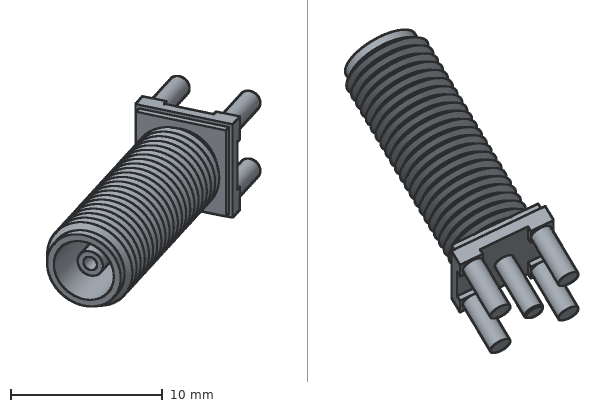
import cadquery as cq


LENGTH = 21.52
FRONT_Y = -LENGTH / 2
REAR_Y = LENGTH / 2
LEG_LENGTH = 3.85
PAD_HEIGHT = 0.39
FLANGE_THICKNESS = 0.8
PLATE_THICKNESS = 0.5
PAD_REAR_Y = REAR_Y - LEG_LENGTH
FLANGE_REAR_Y = PAD_REAR_Y - PAD_HEIGHT
FLANGE_FRONT_Y = FLANGE_REAR_Y - FLANGE_THICKNESS
PLATE_FRONT_Y = FLANGE_FRONT_Y - PLATE_THICKNESS

FLANGE_SIDE = 7.0
PLATE_SIDE = 6.45

LEG_DIAMETER = 1.5
LEG_OFFSET = 2.55
RELIEF_WIDTH = 2 * LEG_OFFSET - LEG_DIAMETER

BARREL_DIAMETER = 5.3
THREAD_DIAMETER = 6.13
RIDGE_COUNT = 22
FRONT_BAND = 0.62
REAR_BAND = 0.39
THREAD_START_Y = FRONT_Y + FRONT_BAND
THREAD_END_Y = PLATE_FRONT_Y - REAR_BAND
RIDGE_PITCH = (THREAD_END_Y - THREAD_START_Y) / RIDGE_COUNT
BORE_DIAMETER = 4.3
BORE_FLOOR_Y = PLATE_FRONT_Y

SOCKET_DIAMETER = 1.8
SOCKET_RECESS = 1.05
SOCKET_HOLE_DIAMETER = 0.97
SOCKET_HOLE_DEPTH = 2 * SOCKET_HOLE_DIAMETER
SOCKET_FRONT_Y = FRONT_Y + SOCKET_RECESS
TAIL_DIAMETER = 1.4
TAIL_CHAMFER = 0.09


def cylinder(diameter, start_y, end_y):
    """Cylinder on the Y axis between two stations."""
    plane = cq.Workplane("XZ", origin=(0, start_y, 0))
    return plane.circle(diameter / 2).extrude(start_y - end_y)


def square_block(side, start_y, end_y):
    """Square block centered on the Y axis between two stations."""
    plane = cq.Workplane("XZ", origin=(0, start_y, 0))
    return plane.rect(side, side).extrude(start_y - end_y)


def make_base():
    """Stepped square base with four corner pads left by a cross-shaped relief."""
    plate = square_block(PLATE_SIDE, PLATE_FRONT_Y, FLANGE_FRONT_Y)
    flange = square_block(FLANGE_SIDE, FLANGE_FRONT_Y, PAD_REAR_Y)
    relief_plane = cq.Workplane("XZ", origin=(0, FLANGE_REAR_Y, 0))
    relief_across = relief_plane.rect(FLANGE_SIDE, RELIEF_WIDTH).extrude(-PAD_HEIGHT)
    relief_upright = relief_plane.rect(RELIEF_WIDTH, FLANGE_SIDE).extrude(-PAD_HEIGHT)
    return plate.union(flange).cut(relief_across).cut(relief_upright)


def make_legs():
    """Four round solder legs, one on each corner pad."""
    spacing = 2 * LEG_OFFSET
    pads = cq.Workplane("XZ", origin=(0, PAD_REAR_Y, 0)).rarray(spacing, spacing, 2, 2)
    return pads.circle(LEG_DIAMETER / 2).extrude(-LEG_LENGTH)


def make_barrel():
    """Solid barrel with evenly spaced V-shaped thread ridges."""
    root_radius = BARREL_DIAMETER / 2
    crest_radius = THREAD_DIAMETER / 2
    outline = cq.Workplane("XY").moveTo(0, FRONT_Y).lineTo(root_radius, FRONT_Y)
    outline = outline.lineTo(root_radius, THREAD_START_Y)
    for ridge in range(RIDGE_COUNT):
        ridge_start_y = THREAD_START_Y + ridge * RIDGE_PITCH
        outline = outline.lineTo(crest_radius, ridge_start_y + RIDGE_PITCH / 2)
        outline = outline.lineTo(root_radius, ridge_start_y + RIDGE_PITCH)
    outline = outline.lineTo(root_radius, PLATE_FRONT_Y).lineTo(0, PLATE_FRONT_Y).close()
    return outline.revolve(360, (0, 0, 0), (0, 1, 0))


def make_housing():
    """Barrel, base and legs in one piece, bored for the center contact."""
    bore = cylinder(BORE_DIAMETER, FRONT_Y, BORE_FLOOR_Y)
    tail_hole = cylinder(TAIL_DIAMETER, BORE_FLOOR_Y, FLANGE_REAR_Y)
    solid = make_base().union(make_legs()).union(make_barrel())
    return solid.cut(bore).cut(tail_hole).solids()


def make_contact():
    """Center contact with a blind socket hole and a chamfered solder tail."""
    socket = cylinder(SOCKET_DIAMETER, SOCKET_FRONT_Y, BORE_FLOOR_Y)
    tail = cylinder(TAIL_DIAMETER, BORE_FLOOR_Y, REAR_Y).faces(">Y").chamfer(TAIL_CHAMFER)
    hole = cylinder(SOCKET_HOLE_DIAMETER, SOCKET_FRONT_Y, SOCKET_FRONT_Y + SOCKET_HOLE_DEPTH)
    return socket.union(tail).cut(hole).solids()


housing = make_housing()
contact = make_contact()

result = cq.Compound.makeCompound([housing.val(), contact.val()])